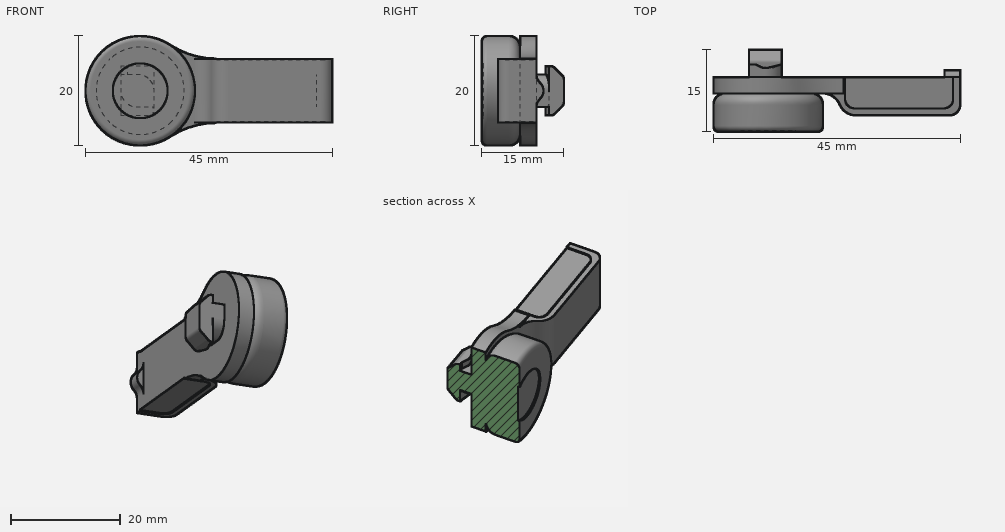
import cadquery as cq
import math


disc_radius = 10.0
disc_thickness = 3.0
neck_half_height = 5.9
neck_blend_radius = 15.0

knob_radius = disc_radius
knob_front = -10.0
knob_back_fillet = 2.0
knob_front_fillet = 1.0
dimple_diameter = 10.0
dimple_depth = 0.3

handle_end = 35.0
handle_front = -7.0
handle_half_height = 5.8
bend_start = 10.0
bend_end = 16.0
handle_corner_radius = 2.0

recess_start = 14.0
recess_wall = 1.3
recess_depth = 0.2
recess_corner_radius = 1.7

catch_length = 2.9
catch_rise = 1.25
catch_radius = 2.0
catch_slope_angle = 45.0

stud_x = -0.5
stud_radius = 3.0
head_top = 5.0
head_half_height = 4.5
head_chamfer = 2.0
head_fillet = 1.0
ramp_high = 2.3
ramp_low = 1.53
ramp_steep_start = -2.3
ramp_crest = -0.7
ramp_gentle_end = 2.5
ramp_crest_fillet = 1.5


def box_between(x_range, y_range, z_range):
    """Axis-aligned box between the given pairs of limits."""
    size = [high - low for low, high in (x_range, y_range, z_range)]
    return cq.Workplane("XY").box(*size, centered=False).translate((x_range[0], y_range[0], z_range[0]))


def disc_cylinder(radius, y_front, y_back, x_center=0.0):
    """Cylinder along Y between two Y positions."""
    plane = cq.Workplane("XZ", origin=(x_center, y_back, 0))
    return plane.circle(radius).extrude(y_back - y_front)


def make_disc():
    """Round disc whose neck runs out to the handle through two concave arcs."""
    center_z = neck_half_height + neck_blend_radius
    center_distance = disc_radius + neck_blend_radius
    neck_end = math.sqrt(center_distance**2 - center_z**2)
    tangent_x = neck_end * disc_radius / center_distance
    tangent_z = center_z * disc_radius / center_distance
    mid_angle = (math.atan2(tangent_z - center_z, tangent_x - neck_end) - math.pi / 2) / 2
    mid_x = neck_end + neck_blend_radius * math.cos(mid_angle)
    mid_z = center_z + neck_blend_radius * math.sin(mid_angle)
    neck = (
        cq.Workplane("XZ")
        .moveTo(0, 0)
        .lineTo(tangent_x, tangent_z)
        .threePointArc((mid_x, mid_z), (neck_end, neck_half_height))
        .lineTo(neck_end, -neck_half_height)
        .threePointArc((mid_x, -mid_z), (tangent_x, -tangent_z))
        .close()
        .extrude(disc_thickness)
    )
    return disc_cylinder(disc_radius, -disc_thickness, 0).union(neck)


def make_knob():
    """Rounded knob in front of the disc, with a shallow round dimple."""
    knob = disc_cylinder(knob_radius, knob_front, -disc_thickness)
    knob = knob.faces(">Y").edges().fillet(knob_back_fillet)
    knob = knob.faces("<Y").edges().fillet(knob_front_fillet)
    return knob.cut(disc_cylinder(dimple_diameter / 2, knob_front, knob_front + dimple_depth))


def make_handle():
    """Handle that drops from the disc through an S-bend of two equal tangent arcs."""
    bend_run = bend_end - bend_start
    bend_drop = -disc_thickness - handle_front
    bend_angle = 2 * math.atan2(bend_drop, bend_run)
    bend_radius = bend_run / (2 * math.sin(bend_angle))
    arc_run = bend_radius * math.sin(bend_angle / 2)
    arc_drop = bend_radius * (1 - math.cos(bend_angle / 2))
    bend_middle = (bend_start + bend_run / 2, -disc_thickness - bend_drop / 2)
    handle = (
        cq.Workplane("XY", origin=(0, 0, -handle_half_height))
        .moveTo(bend_start, 0)
        .lineTo(bend_start, -disc_thickness)
        .threePointArc((bend_start + arc_run, -disc_thickness - arc_drop), bend_middle)
        .threePointArc((bend_end - arc_run, handle_front + arc_drop), (bend_end, handle_front))
        .lineTo(handle_end, handle_front)
        .lineTo(handle_end, 0)
        .close()
        .extrude(2 * handle_half_height)
    )
    handle = handle.edges("|Z and >X and <Y").fillet(handle_corner_radius)
    recess_x = (recess_start, handle_end - recess_wall)
    recess_y = (handle_front + recess_wall, 0)
    floor = handle_half_height - recess_depth
    for z_range in ((floor, handle_half_height), (-handle_half_height, -floor)):
        recess = box_between(recess_x, recess_y, z_range)
        handle = handle.cut(recess.edges("|Z and <Y").fillet(recess_corner_radius))
    return handle


def make_catch():
    """Rounded bump along X at the handle's end: a convex crown flowing into two concave feet."""
    slope = math.radians(catch_slope_angle)
    arc_half_width = catch_radius * math.sin(slope)
    arc_height = catch_radius * (1 - math.cos(slope))
    half_slope_width = catch_radius * math.sin(slope / 2)
    half_slope_height = catch_radius * (1 - math.cos(slope / 2))
    flank_width = (catch_rise - 2 * arc_height) / math.tan(slope)
    shoulder_y = catch_rise - arc_height
    foot_half_width = 2 * arc_half_width + flank_width
    foot_middle = (half_slope_height, foot_half_width - half_slope_width)
    return (
        cq.Workplane("YZ", origin=(handle_end - catch_length, 0, 0))
        .moveTo(handle_front / 2, -foot_half_width)
        .lineTo(0, -foot_half_width)
        .threePointArc((foot_middle[0], -foot_middle[1]), (arc_height, -arc_half_width - flank_width))
        .lineTo(shoulder_y, -arc_half_width)
        .threePointArc((catch_rise, 0), (shoulder_y, arc_half_width))
        .lineTo(arc_height, arc_half_width + flank_width)
        .threePointArc(foot_middle, (0, foot_half_width))
        .lineTo(handle_front / 2, foot_half_width)
        .close()
        .extrude(catch_length)
    )


def half_turn(shape, x_center):
    """Copy of a shape turned half a turn about the Y-parallel axis at x_center."""
    return shape.rotate((x_center, 0, 0), (x_center, 1, 0), 180)


def make_head_envelope():
    """Bar along X that gives the stud head its chamfered and rounded back edges."""
    x_range = (stud_x - stud_radius, stud_x + stud_radius)
    bar = box_between(x_range, (0, head_top), (-head_half_height, head_half_height))
    bar = bar.edges("|X and >Y").chamfer(head_chamfer)
    rounded_edges = bar.faces("(>Y or >Z or <Z)").edges("|X").edges("not <Y")
    return rounded_edges.fillet(head_fillet)


def make_stud():
    """Quarter-turn stud: a stem with two square stop corners and a head with ramped underside."""
    left = stud_x - stud_radius
    stem = disc_cylinder(stud_radius, 0, head_top - head_chamfer, stud_x)
    stop = box_between((left, stud_x), (0, head_top - head_chamfer), (0, stud_radius))
    stem = stem.union(stop).union(half_turn(stop, stud_x))

    ramp_outline = [
        (left, ramp_high),
        (ramp_steep_start, ramp_high),
        (ramp_crest, ramp_low),
        (ramp_gentle_end, ramp_high),
        (-left, ramp_high),
        (-left, head_top),
        (left, head_top),
    ]
    upper_half = cq.Workplane("XY").polyline(ramp_outline).close().extrude(head_half_height)
    upper_half = upper_half.edges("|Z and <Y").fillet(ramp_crest_fillet)
    head = upper_half.union(half_turn(upper_half, 0))
    return stem.union(head.intersect(make_head_envelope()))


result = make_disc().union(make_knob()).union(make_handle()).union(make_catch()).union(make_stud())